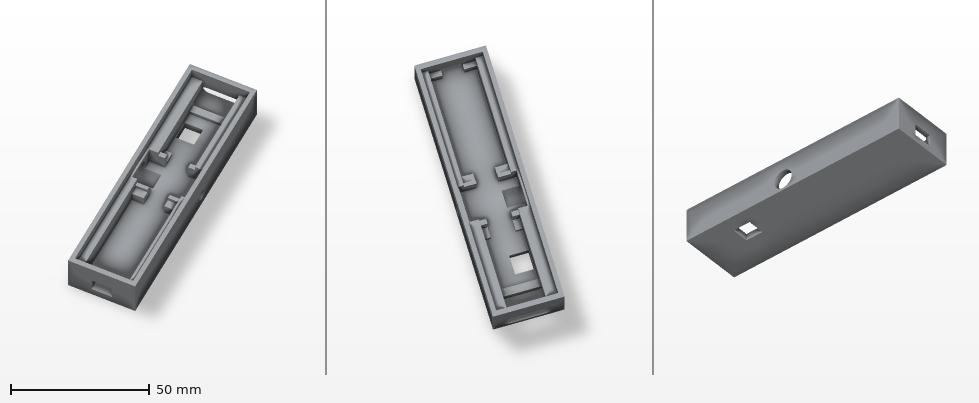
import cadquery as cq

width = 27.0
length = 100.0
height = 14.5
side_wall = 1.8
end_wall = 2.0
floor_z = 3.0
ledge_z = 10.2
inner_half_width = width / 2 - side_wall
inner_end_y = length / 2 - end_wall

rear_half_width = 7.4
front_half_width = 8.9
bay_half_width = 11.0
bay_front_y = -2.5
bay_rear_y = 11.5

rear_step_inner_x = 4.7
rear_step_split_y = 13.4
rear_step_end_y = 17.5
rear_step_low_z = 4.5
rear_step_high_z = 8.5
front_step_inner_x = 4.1
front_step_split_y = -4.0
front_step_end_y = -7.0
front_step_low_z = 6.7
front_step_high_z = 8.1
end_step_y = -46.0

bar_front_y = 37.5
bar_rear_y = 40.5
bar_top_z = 4.5
plug_center_x = 0.4
plug_flat_width = 12.1
plug_bottom_z = 1.7
plug_top_z = 7.1

front_window_width = 8.2
front_window_height = 5.0
floor_window_width = 7.3
floor_window_length = 7.5
floor_window_x = -3.5
floor_window_y = 29.3

hole_y = 4.5
hole_z = 5.0
large_hole_diameter = 8.0
small_hole_diameter = 4.0
large_hole_depth = 9.2


def block(x0, x1, y0, y1, z0, z1):
    """Box between two opposite corners."""
    return cq.Workplane("XY").box(x1 - x0, y1 - y0, z1 - z0, centered=False).translate((x0, y0, z0))


def centered_block(half_width, y0, y1, z0, z1):
    """Box symmetric about the YZ plane."""
    return block(-half_width, half_width, y0, y1, z0, z1)


def mirrored_step(inner_x, outer_x, y0, y1, top_z):
    """Pair of blocks standing on the floor, one against each ledge."""
    right = block(inner_x, outer_x, y0, y1, floor_z, top_z)
    return right.union(right.mirror("YZ"))


def tray():
    """Walled tray with ledges along the sunken channels."""
    body = centered_block(width / 2, -length / 2, length / 2, 0, height)
    body = body.cut(centered_block(inner_half_width, -inner_end_y, inner_end_y, ledge_z, height))
    channels = (
        (front_half_width, -inner_end_y, bay_front_y),
        (bay_half_width, bay_front_y, bay_rear_y),
        (rear_half_width, bay_rear_y, inner_end_y),
    )
    for half_width, y0, y1 in channels:
        body = body.cut(centered_block(half_width, y0, y1, floor_z, ledge_z))
    return body


def retaining_steps():
    """Stepped pairs beside the bay and a plain pair at the front end."""
    steps = (
        (rear_step_inner_x, rear_half_width, bay_rear_y, rear_step_split_y, rear_step_high_z),
        (rear_step_inner_x, rear_half_width, rear_step_split_y, rear_step_end_y, rear_step_low_z),
        (front_step_inner_x, front_half_width, front_step_split_y, bay_front_y, front_step_high_z),
        (front_step_inner_x, front_half_width, front_step_end_y, front_step_split_y, front_step_low_z),
        (front_step_inner_x, front_half_width, -inner_end_y, end_step_y, front_step_low_z),
    )
    pairs = cq.Workplane("XY")
    for step in steps:
        pairs = pairs.add(mirrored_step(*step))
    return pairs.combine()


def plug_opening():
    """Flat slot with round ends, from the cross bar out through the rear wall."""
    plug_height = plug_top_z - plug_bottom_z
    slot = cq.Workplane("XZ").slot2D(plug_flat_width + plug_height, plug_height)
    slot = slot.extrude(-(length / 2 - bar_rear_y))
    return slot.translate((plug_center_x, bar_rear_y, (plug_bottom_z + plug_top_z) / 2))


def cross_hole():
    """Large hole from the -X side, continued by a small one through the +X wall."""
    start = cq.Workplane("YZ", origin=(-width / 2, hole_y, hole_z))
    large = start.circle(large_hole_diameter / 2).extrude(large_hole_depth)
    small = start.circle(small_hole_diameter / 2).extrude(width)
    return large.union(small)


def floor_window():
    """Rectangular opening through the floor."""
    window = cq.Workplane("XY").rect(floor_window_width, floor_window_length).extrude(floor_z)
    return window.translate((floor_window_x, floor_window_y, 0))


cross_bar = centered_block(rear_half_width, bar_front_y, bar_rear_y, floor_z, bar_top_z)
front_window = centered_block(
    front_window_width / 2, -length / 2, -inner_end_y, floor_z, floor_z + front_window_height
)

result = tray().union(cross_bar).union(retaining_steps())
result = result.cut(plug_opening()).cut(cross_hole())
result = result.cut(front_window).cut(floor_window())